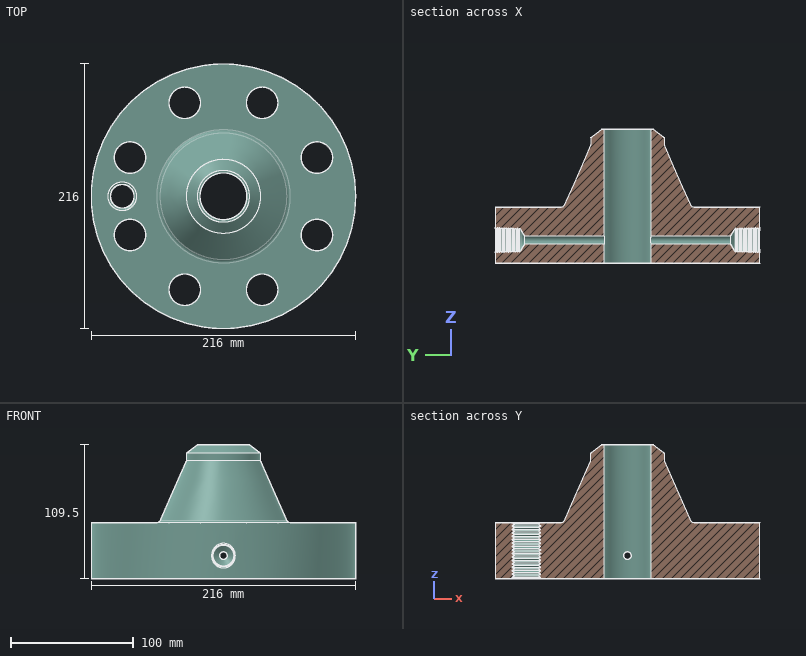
import cadquery as cq
import math

flange_diameter = 216.0
flange_radius = flange_diameter / 2
flange_thickness = 46.0

total_height = 109.5
bore_radius = 19.0
neck_end_radius = 30.2
land_width = 2.2
bevel_height = 7.0
neck_straight_height = 6.0
hub_base_radius = 52.5
hub_fillet_radius = 3.0

bolt_count = 8
bolt_circle_radius = 82.5
bolt_hole_diameter = 25.5
bolt_pitch_angle = 360 / bolt_count

jack_minor_radius = 9.5
jack_major_radius = 11.7
jack_pitch = 2.8
jack_thread_count = math.ceil(flange_thickness / jack_pitch)

tap_height = 19.0
tap_minor_radius = 9.0
tap_major_radius = 10.1
tap_pitch = 1.81
tap_thread_count = 12
tap_taper = 1 / 32
tap_passage_radius = 3.0
drill_tip_angle = 118


def flange_with_neck():
    """Revolve the plate and neck about Z, with a small fillet at the hub foot."""
    bevel_base = total_height - bevel_height
    hub_top = bevel_base - neck_straight_height
    body = (
        cq.Workplane("XZ")
        .moveTo(bore_radius, 0)
        .lineTo(flange_radius, 0)
        .lineTo(flange_radius, flange_thickness)
        .lineTo(hub_base_radius, flange_thickness)
        .lineTo(neck_end_radius, hub_top)
        .lineTo(neck_end_radius, bevel_base)
        .lineTo(bore_radius + land_width, total_height)
        .lineTo(bore_radius, total_height)
        .close()
        .revolve(360, (0, 0), (0, 1))
    )
    foot_reach = hub_base_radius + land_width
    foot_edge = cq.selectors.BoxSelector(
        (-foot_reach, -foot_reach, flange_thickness - land_width),
        (foot_reach, foot_reach, flange_thickness + land_width),
        boundingbox=True,
    )
    return body.edges(foot_edge).fillet(hub_fillet_radius)


def threaded_cutter(minor_radius, major_radius, pitch, thread_count, taper=0.0):
    """Cutter along -Z with V-shaped thread rings, the first ring centred on Z = 0, and a drill point."""
    half_pitch = pitch / 2
    profile = cq.Workplane("XZ").moveTo(0, half_pitch).lineTo(minor_radius, half_pitch)
    for ring in range(thread_count):
        root_depth = ring * pitch
        crest_depth = root_depth + half_pitch
        profile = profile.lineTo(major_radius - taper * root_depth, -root_depth)
        profile = profile.lineTo(minor_radius - taper * crest_depth, -crest_depth)
    end_depth = (thread_count - 0.5) * pitch
    end_radius = minor_radius - taper * end_depth
    tip_length = end_radius / math.tan(math.radians(drill_tip_angle / 2))
    return profile.lineTo(0, -end_depth - tip_length).close().revolve(360, (0, 0), (0, 1))


def bolt_holes():
    """Through holes that straddle the X and Y axes."""
    return (
        cq.Workplane("XY")
        .polarArray(bolt_circle_radius, bolt_pitch_angle / 2, 360, bolt_count)
        .circle(bolt_hole_diameter / 2)
        .extrude(flange_thickness)
    )


def jack_screw_hole():
    """Threaded hole through the full plate thickness; its drill point lies below the plate."""
    cutter = threaded_cutter(jack_minor_radius, jack_major_radius, jack_pitch, jack_thread_count)
    return cutter.translate((-bolt_circle_radius, 0, flange_thickness))


def pressure_tap():
    """Threaded tap in the -Y rim with a passage from its tip to the bore."""
    thread = threaded_cutter(tap_minor_radius, tap_major_radius, tap_pitch, tap_thread_count, tap_taper)
    passage = cq.Workplane("XY").circle(tap_passage_radius).extrude(-flange_radius)
    cutter = thread.union(passage)
    return cutter.rotate((0, 0, 0), (1, 0, 0), 90).translate((0, -flange_radius, tap_height))


tap = pressure_tap()
result = (
    flange_with_neck()
    .cut(bolt_holes())
    .cut(jack_screw_hole())
    .cut(tap)
    .cut(tap.mirror("XZ"))
)